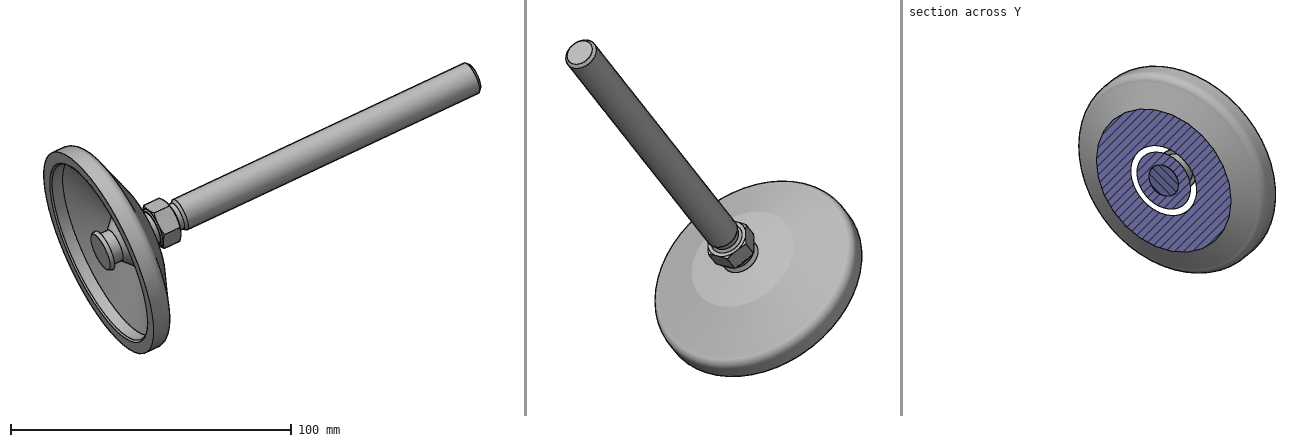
import cadquery as cq
import math

total_length = 154.5

pad_radius = 39.47
rim_height = 4.8
shoulder_radius = 37.0
shoulder_y = 8.0
crown_radius = 20.1
crown_y = 15.9
collar_radius = 7.0
collar_y = 18.0
collar_top_y = 19.8
cavity_radius = 34.5
cavity_wall_top = 5.0
lip_chamfer = 0.6
boss_radius = 11.9
boss_root_y = 12.7
boss_tip_y = 6.6
boss_root_fillet = 1.1

stud_radius = 6.0
end_chamfer = 1.1
relief_radius = 5.1
relief_bottom = 30.6
relief_top = 32.5
thread_start = relief_top + 1.1
hex_bottom = 22.4
hex_top = 29.7
hex_across_flats = 14.8
hex_chamfer_height = 0.5
hex_chamfer_width = 1.1
ledge_height = 0.5
ledge_top_radius = 7.1
ledge_bottom_radius = 6.5
head_radius = 7.5
head_bottom = 0.8
head_top = 2.3
head_face_radius = 7.0


def revolve_about_y(profile):
    """Turn a closed half-section (X = radius) into a full solid."""
    return profile.close().revolve(360, (0, 0, 0), (0, 1, 0))


def tangent_arc_middle(radius, tangent_y, end_radius, end_y):
    """Middle point of an arc that leaves a cylinder tangentially and ends at a smaller radius."""
    inset = radius - end_radius
    rise = end_y - tangent_y
    arc_radius = (inset**2 + rise**2) / (2 * inset)
    half_angle = math.asin(rise / arc_radius) / 2
    return (
        radius - arc_radius * (1 - math.cos(half_angle)),
        tangent_y + arc_radius * math.sin(half_angle),
    )


def make_pad():
    """Dished foot with an inner boss and a through hole for the stud."""
    rim_arc_middle = tangent_arc_middle(pad_radius, rim_height, shoulder_radius, shoulder_y)
    profile = (
        cq.Workplane("XY")
        .moveTo(cavity_radius + lip_chamfer, 0)
        .lineTo(pad_radius, 0)
        .lineTo(pad_radius, rim_height)
        .threePointArc(rim_arc_middle, (shoulder_radius, shoulder_y))
        .lineTo(crown_radius, crown_y)
        .lineTo(collar_radius, collar_y)
        .lineTo(stud_radius, collar_top_y)
        .lineTo(stud_radius, boss_tip_y)
        .lineTo(boss_radius, boss_root_y)
        .lineTo(cavity_radius, cavity_wall_top)
        .lineTo(cavity_radius, lip_chamfer)
    )
    pad = revolve_about_y(profile)
    boss_root = cq.selectors.BoxSelector(
        (-boss_radius - 1.5, boss_root_y - 0.2, -boss_radius - 1.5),
        (boss_radius + 1.5, boss_root_y + 0.2, boss_radius + 1.5),
        boundingbox=True,
    )
    return pad.edges(boss_root).fillet(boss_root_fillet)


def make_hexagon():
    """Wrench hexagon with flats facing +X and -X and chamfered corners."""
    across_corners = hex_across_flats / math.cos(math.pi / 6)
    prism = (
        cq.Workplane("XZ", origin=(0, hex_top, 0))
        .transformed(rotate=(0, 0, 90))
        .polygon(6, across_corners)
        .extrude(hex_top - hex_bottom)
    )
    corner_radius = across_corners / 2
    chamfered_blank = revolve_about_y(
        cq.Workplane("XY")
        .moveTo(0, hex_bottom)
        .lineTo(corner_radius - hex_chamfer_width, hex_bottom)
        .lineTo(corner_radius, hex_bottom + hex_chamfer_height)
        .lineTo(corner_radius, hex_top - hex_chamfer_height)
        .lineTo(corner_radius - hex_chamfer_width, hex_top)
        .lineTo(0, hex_top)
    )
    return prism.intersect(chamfered_blank)


def make_stud():
    """Rod with a retaining head, a hexagon and a relief groove above it."""
    head_arc_middle = tangent_arc_middle(head_radius, head_top, head_face_radius, head_bottom)
    profile = (
        cq.Workplane("XY")
        .moveTo(0, head_bottom)
        .lineTo(head_face_radius, head_bottom)
        .threePointArc(head_arc_middle, (head_radius, head_top))
        .lineTo(stud_radius, head_top)
        .lineTo(stud_radius, hex_bottom - ledge_height)
        .lineTo(ledge_bottom_radius, hex_bottom - ledge_height)
        .lineTo(ledge_top_radius, hex_bottom)
        .lineTo(stud_radius, hex_bottom)
        .lineTo(stud_radius, hex_top)
        .lineTo(relief_radius, relief_bottom)
        .lineTo(relief_radius, relief_top)
        .lineTo(stud_radius, thread_start)
        .lineTo(stud_radius, total_length - end_chamfer)
        .lineTo(stud_radius - end_chamfer, total_length)
        .lineTo(0, total_length)
    )
    return revolve_about_y(profile).union(make_hexagon())


pad = make_pad()
stud = make_stud()
result = cq.Compound.makeCompound([pad.val(), stud.val()])